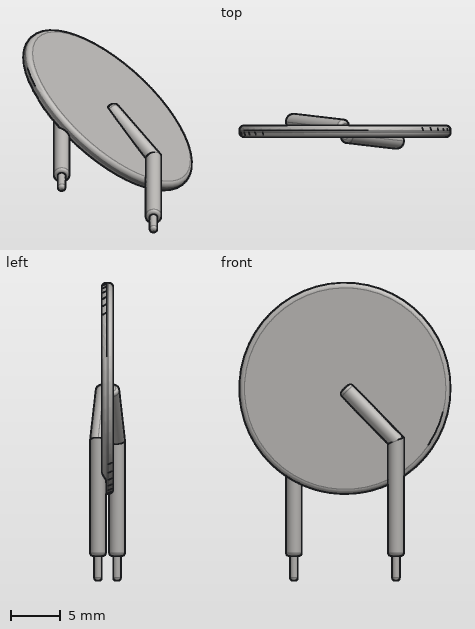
import cadquery as cq

disc_diameter = 21.2
disc_thickness = 1.2
disc_edge_radius = 0.5

overall_height = 29.9
sleeve_diameter = 1.6
sleeve_end_radius = 0.35
wire_diameter = 0.8
wire_tip_radius = 0.35
wire_exposed_length = 2.48
lead_x = 5.1
lead_offset_y = 0.95
bend_z = -5.25
inner_end_y = 0.35

wire_bottom_z = disc_diameter / 2 - overall_height
sleeve_bottom_z = wire_bottom_z + wire_exposed_length


def make_disc():
    """Flat round body with rounded rims."""
    return (
        cq.Workplane("XZ")
        .circle(disc_diameter / 2)
        .extrude(disc_thickness / 2, both=True)
        .edges()
        .fillet(disc_edge_radius)
    )


def make_sleeve():
    """Front sleeve: vertical run, mitred bend, slanted run to the disc centre."""
    bottom = cq.Vector(lead_x, -lead_offset_y, sleeve_bottom_z)
    bend = cq.Vector(lead_x, -lead_offset_y, bend_z)
    inner_end = cq.Vector(0, -inner_end_y, 0)
    path = cq.Workplane("XY").polyline([bottom, bend, inner_end])
    sleeve = (
        cq.Workplane("XY", origin=bottom.toTuple())
        .circle(sleeve_diameter / 2)
        .sweep(path, transition="right")
    )
    end_rims = sleeve.edges(cq.selectors.NearestToPointSelector(bottom.toTuple())).add(
        sleeve.edges(cq.selectors.NearestToPointSelector(inner_end.toTuple()))
    )
    return sleeve.newObject(end_rims.vals()).fillet(sleeve_end_radius)


def make_wire():
    """Bare wire below the front sleeve, with a rounded tip."""
    return (
        cq.Workplane("XY", origin=(lead_x, -lead_offset_y, wire_bottom_z))
        .circle(wire_diameter / 2)
        .extrude(wire_exposed_length + sleeve_diameter)
        .faces("<Z")
        .edges()
        .fillet(wire_tip_radius)
    )


front_lead = make_sleeve().union(make_wire())
back_lead = front_lead.rotate((0, 0, 0), (0, 0, 1), 180)

result = make_disc().union(front_lead).union(back_lead)